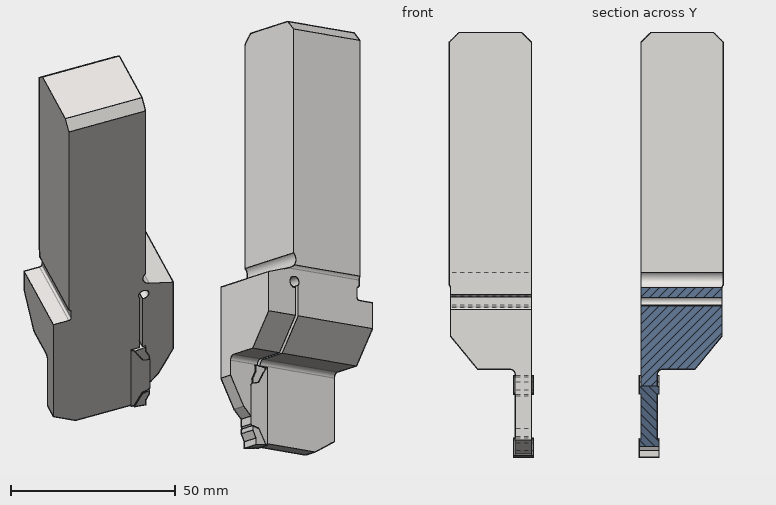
import cadquery as cq
import math

total_height = 129.1
shank_size = 25.0
shank_chamfer = 3.0

face_step = 0.4
step_bottom_z = 51.3
step_height = 1.2
head_front_y = -5.0
head_back_y = 34.1
shoulder_z = 44.9
relief_depth = 0.8
relief_top_z = 49.5
relief_fillet = 0.8
back_shoulder_z = 49.0
back_slope = math.radians(15)
back_groove_radius = 2.7
back_groove_y = 26.9
back_groove_z = 54.1
head_bottom_z = 26.7
slope_top_z = 36.8
slope_bottom_x = -16.4

blade_thickness = 5.0
blade_bottom_z = 1.0
blade_root_fillet = 1.5
blade_chamfer_y = 7.2
blade_chamfer_z = 4.3
jaw_corner_z = 20.5
jaw_knee_y = 29.2
jaw_knee_z = 11.5
jaw_tip_z = 8.8

insert_length = 24.9
insert_front_y = 20.3
insert_back_y = 26.5
tip_back_y = 24.9
tip_shoulder_y = 26.1
tip_front_y = 21.2
tip_inner_y = 23.9
tip_inner_z = 5.3
tip_overhang = 0.5
tip_clearance = 0.5
tip_land = 2.1
tip_rake_end_z = 4.4
tip_length = 5.8
waist_z = 6.3

slot_front_y = 23.0
slot_width = 1.0
slot_hole_y = 24.4
slot_hole_z = 47.3
slot_hole_radius = 1.7

through_length = 2 * shank_size


def prism_along_x(outline, x_min, x_max):
    """Extrude a closed (Y, Z) outline between two X positions."""
    return outline.close().extrude(x_max - x_min).translate((x_min, 0, 0))


def holder_side_prism():
    """Side outline of the shank, head and blade."""
    start_rise = math.sqrt(back_groove_radius**2 - (back_groove_y - shank_size)**2)
    groove_end_y = back_groove_y - back_groove_radius * math.sin(back_slope)
    groove_end_z = back_groove_z - back_groove_radius * math.cos(back_slope)
    outline = (
        cq.Workplane("YZ")
        .moveTo(0, total_height)
        .lineTo(0, relief_top_z)
        .lineTo(relief_depth, relief_top_z - relief_depth)
        .lineTo(relief_depth, shoulder_z + relief_fillet)
        .radiusArc((relief_depth - relief_fillet, shoulder_z), relief_fillet)
        .lineTo(head_front_y, shoulder_z)
        .lineTo(head_front_y, blade_bottom_z + blade_chamfer_z)
        .lineTo(head_front_y + blade_chamfer_y, blade_bottom_z)
        .lineTo(insert_front_y, blade_bottom_z)
        .lineTo(insert_front_y, jaw_tip_z)
        .lineTo(insert_back_y, jaw_tip_z)
        .lineTo(jaw_knee_y, jaw_knee_z)
        .lineTo(head_back_y, jaw_corner_z)
        .lineTo(head_back_y, back_shoulder_z)
        .lineTo(groove_end_y, groove_end_z)
        .threePointArc(
            (back_groove_y - back_groove_radius, back_groove_z),
            (shank_size, back_groove_z + start_rise),
        )
        .lineTo(shank_size, total_height)
    )
    return prism_along_x(outline, -shank_size, 0)


def holder_front_prism():
    """Front outline of the holder, extruded over its full depth along Y."""
    head_x = face_step - shank_size
    step_radius = (step_height**2 + face_step**2) / (2 * face_step)
    return (
        cq.Workplane("XZ")
        .moveTo(0, 0)
        .lineTo(0, total_height - shank_chamfer)
        .lineTo(-shank_chamfer, total_height)
        .lineTo(shank_chamfer - shank_size, total_height)
        .lineTo(-shank_size, total_height - shank_chamfer)
        .lineTo(-shank_size, step_bottom_z + step_height)
        .radiusArc((head_x, step_bottom_z), step_radius)
        .lineTo(head_x, slope_top_z)
        .lineTo(slope_bottom_x, head_bottom_z)
        .lineTo(-blade_thickness - blade_root_fillet, head_bottom_z)
        .radiusArc((-blade_thickness, head_bottom_z - blade_root_fillet), blade_root_fillet)
        .lineTo(-blade_thickness, 0)
        .close()
        .extrude(head_front_y - head_back_y)
        .translate((0, head_front_y, 0))
    )


def insert_back_points():
    """Back edge of the insert, from its lower cutting edge to its upper one."""
    lower_half = [
        (tip_back_y, 0),
        (tip_back_y, tip_land),
        (tip_shoulder_y, tip_rake_end_z),
        (tip_shoulder_y, tip_length),
        (insert_back_y, waist_z),
    ]
    upper_half = [(y, insert_length - z) for y, z in reversed(lower_half)]
    return lower_half + upper_half


def insert_pocket():
    """Pocket that follows the insert's back edge and has a flat upper end."""
    corners = [(insert_front_y, 0), *insert_back_points(), (insert_front_y, insert_length)]
    return prism_along_x(cq.Workplane("YZ").polyline(corners), -through_length, through_length)


def clamping_slot():
    """Thin slot from the insert pocket up to its relief hole."""
    slot = (
        cq.Workplane("YZ")
        .moveTo(slot_front_y, insert_length / 2)
        .lineTo(slot_front_y + slot_width, insert_length / 2)
        .lineTo(slot_front_y + slot_width, slot_hole_z)
        .lineTo(slot_front_y, slot_hole_z)
    )
    hole = (
        cq.Workplane("YZ")
        .center(slot_hole_y, slot_hole_z)
        .circle(slot_hole_radius)
        .extrude(through_length, both=True)
    )
    return prism_along_x(slot, -through_length, through_length).union(hole)


def make_holder():
    blank = holder_side_prism().intersect(holder_front_prism())
    return blank.cut(insert_pocket()).cut(clamping_slot())


def insert_tip():
    """Lower cutting tip, wider than the insert's waist on both sides."""
    outline = cq.Workplane("YZ").polyline([
        (tip_back_y, 0),
        (tip_back_y, tip_land),
        (tip_shoulder_y, tip_rake_end_z),
        (tip_shoulder_y, tip_length),
        (tip_inner_y, tip_inner_z),
        (tip_front_y, tip_clearance),
    ])
    return prism_along_x(outline, -blade_thickness - tip_overhang, tip_overhang)


def make_insert():
    corners = [
        (insert_front_y, tip_clearance),
        (tip_front_y, tip_clearance),
        *insert_back_points(),
        (tip_front_y, insert_length - tip_clearance),
        (insert_front_y, insert_length - tip_clearance),
    ]
    waist = prism_along_x(cq.Workplane("YZ").polyline(corners), -blade_thickness, 0)
    lower_tip = insert_tip()
    upper_tip = lower_tip.mirror("XY", (0, 0, insert_length / 2))
    return waist.union(lower_tip).union(upper_tip)


holder = make_holder()
cutting_insert = make_insert()
result = cq.Compound.makeCompound([holder.val(), cutting_insert.val()])